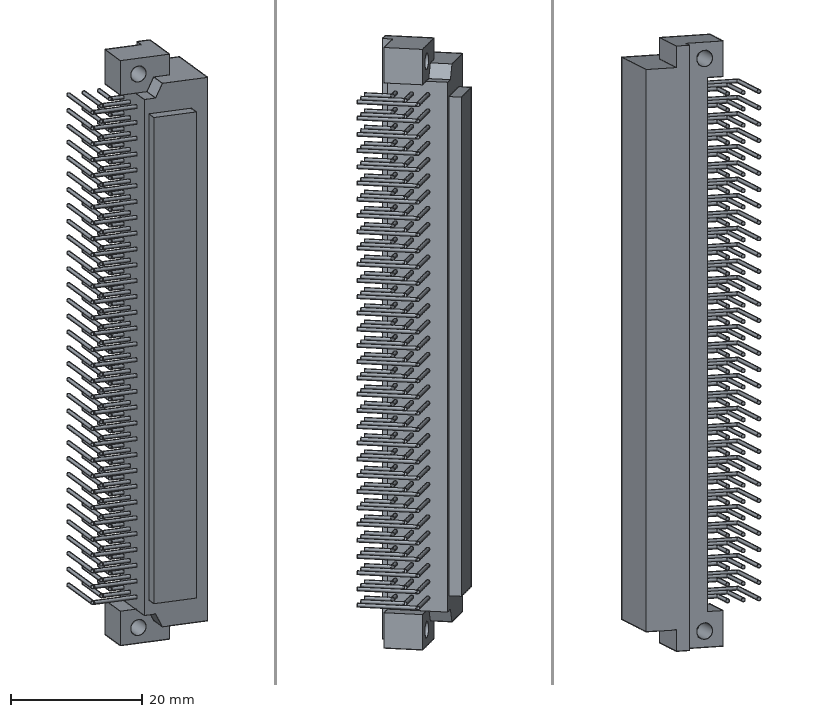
import cadquery as cq


total_length = 94.0
housing_length = 87.3
foot_length = 5.5
tongue_length = 78.1

back_x = 1.5
step_x = 3.1
foot_front_x = 9.1
front_x = 12.5
tongue_tip_x = 14.5

foot_top_y = -4.9
flange_y = -7.05
slope_start_y = -7.5
slope_end_y = -8.65
housing_y = -10.5
foot_bottom_y = -13.1
tongue_top_y = -2.7
tongue_bottom_y = -9.8

hole_diameter = 2.5
hole_y = -10.1
hole_spacing = 88.9

pin_diameter = 0.6
pin_reach_y = -18.05
pins_per_row = 32
row_count = 3
row_length = 78.8
row_pitch = 2.5
first_bend_x = 4.3
pin_embed = 0.9

pin_radius = pin_diameter / 2
pin_pitch = row_length / (pins_per_row - 1)
first_row_y = pin_reach_y + pin_radius + (row_count - 1) * row_pitch


def box_between(x_range, y_range, z_range):
    """Axis-aligned box spanning the given (low, high) ranges."""
    lows, highs = zip(x_range, y_range, z_range)
    sizes = [high - low for low, high in zip(lows, highs)]
    return cq.Workplane("XY").box(*sizes, centered=False).translate(lows)


def make_housing():
    """Main bar, with sloped shoulders at both ends and a step below the flange."""
    half_long = housing_length / 2
    half_short = total_length / 2 - foot_length
    outline = [
        (0, -half_long),
        (slope_start_y, -half_long),
        (slope_end_y, -half_short),
        (housing_y, -half_short),
        (housing_y, half_short),
        (slope_end_y, half_short),
        (slope_start_y, half_long),
        (0, half_long),
    ]
    bar = cq.Workplane("YZ").workplane(offset=back_x).polyline(outline).close().extrude(front_x - back_x)
    step = box_between((back_x, step_x), (housing_y, flange_y), (-half_long, half_long))
    return bar.cut(step)


def make_tongue():
    """Plug body on the mating side."""
    half = tongue_length / 2
    return box_between((front_x, tongue_tip_x), (tongue_bottom_y, tongue_top_y), (-half, half))


def make_foot(side):
    """Stepped mounting foot with its hole; side is +1 for the upper end, -1 for the lower."""
    outer_z = side * total_length / 2
    inner_z = outer_z - side * foot_length
    outline = [
        (back_x, foot_top_y),
        (foot_front_x, foot_top_y),
        (foot_front_x, foot_bottom_y),
        (step_x, foot_bottom_y),
        (step_x, flange_y),
        (back_x, flange_y),
    ]
    foot = cq.Workplane("XY").workplane(offset=inner_z).polyline(outline).close().extrude(outer_z - inner_z)
    hole = (
        cq.Workplane("YZ")
        .workplane(offset=back_x)
        .center(hole_y, side * hole_spacing / 2)
        .circle(hole_diameter / 2)
        .extrude(foot_front_x - back_x)
    )
    return foot.cut(hole)


def make_pin(row):
    """Pin at Z = 0 with a ball-shaped bend, from inside the housing to its tip at X = 0."""
    bend_x = first_bend_x + row * row_pitch
    bend_y = first_row_y - row * row_pitch
    path = cq.Workplane("XY").moveTo(0, bend_y).lineTo(bend_x, bend_y).lineTo(bend_x, housing_y + pin_embed)
    return cq.Workplane("YZ").center(bend_y, 0).circle(pin_radius).sweep(path, transition="round")


def make_pins():
    """All the pins, row by row."""
    pins = []
    for row in range(row_count):
        pin = make_pin(row).val()
        for index in range(pins_per_row):
            pins.append(pin.translate(cq.Vector(0, 0, index * pin_pitch - row_length / 2)))
    return pins


body = make_housing().union(make_tongue()).union(make_foot(1)).union(make_foot(-1))
result = cq.Workplane(body.val().fuse(*make_pins())).solids()